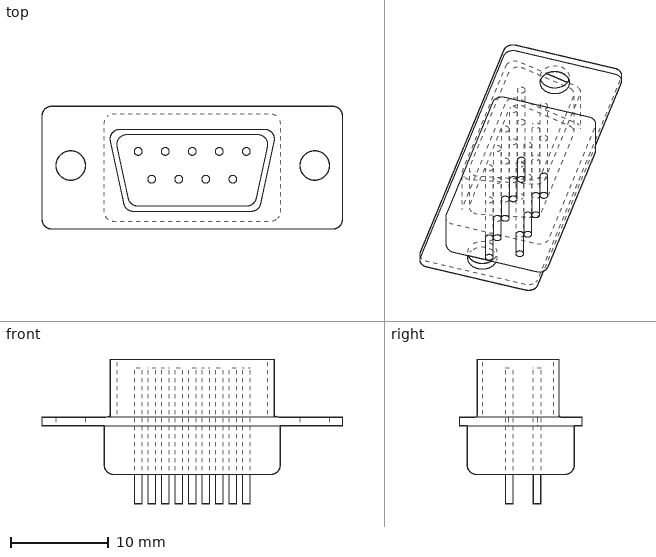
import cadquery as cq
import math

flange_length = 30.8
flange_width = 12.6
flange_thickness = 0.9
flange_corner_radius = 1.0
mounting_hole_diameter = 3.0
mounting_hole_spacing = 25.0
mounting_holes_center_x = 0.05
mounting_holes_center_y = 0.22

body_length = 18.06
body_width = 11.0
body_height = 5.0
body_edge_radius = 1.0

shell_height = 5.9
shell_back_y = 3.93
shell_front_y = -4.48
shell_back_half_length = 8.65
shell_side_angle = 12.15
shell_corner_radius = 1.0
shell_foot_radius = 0.2
shell_wall = 0.55
cavity_corner_radius = 1.0
cavity_floor_z = 0.0

pin_diameter = 0.8
pin_pitch = 2.77
pin_row_spacing = 2.85
pin_rows_center_y = 0.24
pin_tail_length = 3.0
pin_top_z = 5.0
back_row_count = 5
front_row_count = 4

body_bottom_z = -flange_thickness - body_height
pin_bottom_z = body_bottom_z - pin_tail_length


def trapezoid(inset=0.0):
    """Sharp-cornered shell outline with every side moved inwards by the inset."""
    angle = math.radians(shell_side_angle)
    back_y = shell_back_y - inset
    front_y = shell_front_y + inset
    side_inset = inset / math.cos(angle)
    back_x = shell_back_half_length - inset * math.tan(angle) - side_inset
    front_x = back_x - (back_y - front_y) * math.tan(angle)
    return [(-back_x, back_y), (back_x, back_y), (front_x, front_y), (-front_x, front_y)]


def make_flange():
    return (
        cq.Workplane("XY", origin=(0, 0, -flange_thickness))
        .rect(flange_length, flange_width)
        .extrude(flange_thickness)
        .edges("|Z")
        .fillet(flange_corner_radius)
    )


def add_shell(flange):
    """Raise the solid shell block, flare its foot, then round its upright corners."""
    block = cq.Workplane("XY").polyline(trapezoid()).close().extrude(shell_height)
    inner_x = flange_length / 2 - flange_corner_radius
    inner_y = flange_width / 2 - flange_corner_radius
    foot_zone = cq.selectors.BoxSelector(
        (-inner_x, -inner_y, -shell_foot_radius),
        (inner_x, inner_y, shell_foot_radius),
    )
    wall_zone = cq.selectors.BoxSelector(
        (-inner_x, -inner_y, 0),
        (inner_x, inner_y, shell_height),
    )
    flared = flange.union(block).edges(foot_zone).fillet(shell_foot_radius)
    upright_corners = flared.edges("|Z").edges(wall_zone)
    return upright_corners.fillet(shell_corner_radius)


def make_cavity():
    return (
        cq.Workplane("XY", origin=(0, 0, cavity_floor_z))
        .polyline(trapezoid(shell_wall))
        .close()
        .extrude(shell_height - cavity_floor_z)
        .edges("|Z")
        .fillet(cavity_corner_radius)
    )


def make_body():
    return (
        cq.Workplane("XY", origin=(0, 0, body_bottom_z))
        .rect(body_length, body_width)
        .extrude(body_height)
        .edges("|Z or <Z")
        .fillet(body_edge_radius)
    )


def make_mounting_holes():
    return (
        cq.Workplane("XY", origin=(mounting_holes_center_x, mounting_holes_center_y, -flange_thickness))
        .rarray(mounting_hole_spacing, 1, 2, 1)
        .circle(mounting_hole_diameter / 2)
        .extrude(flange_thickness)
    )


def make_pin(x, y):
    return (
        cq.Workplane("XY", origin=(x, y, pin_bottom_z))
        .circle(pin_diameter / 2)
        .extrude(pin_top_z - pin_bottom_z)
    )


def pin_row(count, y):
    first_x = -(count - 1) * pin_pitch / 2
    return [make_pin(first_x + i * pin_pitch, y) for i in range(count)]


back_row_y = pin_rows_center_y + pin_row_spacing / 2
front_row_y = pin_rows_center_y - pin_row_spacing / 2
pins = pin_row(back_row_count, back_row_y) + pin_row(front_row_count, front_row_y)

housing = (
    add_shell(make_flange())
    .cut(make_cavity())
    .union(make_body())
    .cut(make_mounting_holes())
)
for pin in pins:
    housing = housing.cut(pin)

result = cq.Compound.makeCompound([housing.val(), *[pin.val() for pin in pins]])